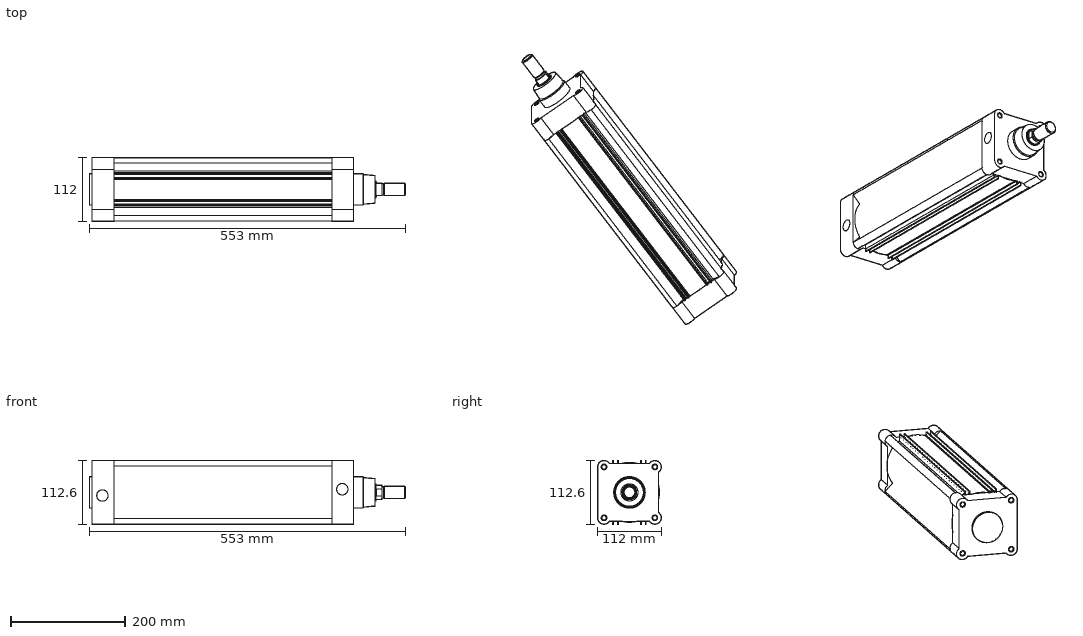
import cadquery as cq
import math


SIDES = (-1, 1)

REAR_BOSS_HEIGHT = 4.5
CAP_LENGTH = 38.0
TUBE_LENGTH = 381.5
TUBE_START = REAR_BOSS_HEIGHT + CAP_LENGTH
TUBE_END = TUBE_START + TUBE_LENGTH
FRONT_CAP_END = TUBE_END + CAP_LENGTH
ROD_TIP = 553.0

CAP_HALF = 56.0
RECESS_DEPTH = 5.0
RECESSED_HALF = CAP_HALF - RECESS_DEPTH
CORNER_DIAMETER = 22.5
CORNER_RADIUS = CORNER_DIAMETER / 2
CORNER_OFFSET = CAP_HALF - CORNER_RADIUS
BOSS_RADIUS = 27.5

BOLT_HOLE_RADIUS = 4.0
BOLT_HOLE_DEPTH = 16.5
BOLT_HOLE_CHAMFER = 1.0

PORT_RADIUS = 10.0
PORT_DEPTH = 22.0
PORT_INSET = 18.0
PORT_SHIFT = 5.5

BARREL_RADIUS = 52.5
LOBE_EDGE = 46.0
LOBE_REACH = CORNER_OFFSET + math.sqrt(CORNER_RADIUS**2 - (LOBE_EDGE - CORNER_OFFSET) ** 2)
FLANK_FILLET = 1.5
RAIL_PROUD = 0.3
RAIL_TOP = CAP_HALF + RAIL_PROUD
RAIL_THICKNESS = 1.5
RAIL_INNER_FACES = (19.5, 27.5)
RAIL_FOOT_WIDTH = 1.5
RAIL_FOOT_TOP = 50.5
SLOT_FLOOR = 44.0

NECK_CHAMFER = 1.5
NECK_STEP = 480.0
SLEEVE_RADIUS = 26.0
SLEEVE_TAPER_START = 481.5
SLEEVE_END_RADIUS = 24.5
SLEEVE_END = 500.0
WIPER_RADIUS = 15.0
WIPER_END = 501.5

ROD_RADIUS = 12.5
FLATS_START = 502.5
FLATS_WIDTH = 22.0
COLLAR_END = 511.5
GROOVE_RADIUS = 10.0
THREAD_START = 515.0
THREAD_RADIUS = 11.0
THREAD_CHAMFER = 1.5


def section_at(x):
    """Workplane at station x: its local axes are Y and Z, and it extrudes toward +X."""
    return cq.Workplane("YZ", origin=(x, 0, 0))


def turned(points):
    """Solid of revolution about X from (x, radius) points that start and end on the axis."""
    return cq.Workplane("XY").polyline(points).close().revolve(360, (0, 0, 0), (1, 0, 0))


def cap_block(x_start):
    """Cap outline: full width at -Y, where the lobes run tangent into the flat face."""
    diagonal = CORNER_OFFSET + CORNER_RADIUS / math.sqrt(2)
    lobe_half = math.sqrt(CORNER_RADIUS**2 - (RECESSED_HALF - CORNER_OFFSET) ** 2)
    lobe_start = CORNER_OFFSET - lobe_half
    return (
        section_at(x_start)
        .moveTo(-CAP_HALF, -CORNER_OFFSET)
        .lineTo(-CAP_HALF, CORNER_OFFSET)
        .threePointArc((-diagonal, diagonal), (-lobe_start, RECESSED_HALF))
        .lineTo(lobe_start, RECESSED_HALF)
        .threePointArc((diagonal, diagonal), (RECESSED_HALF, lobe_start))
        .lineTo(RECESSED_HALF, -lobe_start)
        .threePointArc((diagonal, -diagonal), (lobe_start, -RECESSED_HALF))
        .lineTo(-lobe_start, -RECESSED_HALF)
        .threePointArc((-diagonal, -diagonal), (-CAP_HALF, -CORNER_OFFSET))
        .close()
        .extrude(CAP_LENGTH)
    )


def bolt_hole_cutters(x_face, inward):
    """Four chamfered blind holes sunk from x_face; inward is +1 or -1 along X."""
    mouth_radius = BOLT_HOLE_RADIUS + BOLT_HOLE_CHAMFER
    hole = turned([
        (x_face, 0),
        (x_face, mouth_radius),
        (x_face + inward * BOLT_HOLE_CHAMFER, BOLT_HOLE_RADIUS),
        (x_face + inward * BOLT_HOLE_DEPTH, BOLT_HOLE_RADIUS),
        (x_face + inward * BOLT_HOLE_DEPTH, 0),
    ])
    holes = cq.Workplane("XY")
    for y_side in SIDES:
        for z_side in SIDES:
            holes = holes.add(hole.translate((0, y_side * CORNER_OFFSET, z_side * CORNER_OFFSET)))
    return holes.combine()


def port_cutter(x, z):
    """Blind port bored from the -Y face toward +Y."""
    return cq.Workplane("XZ", origin=(x, -CAP_HALF, z)).circle(PORT_RADIUS).extrude(-PORT_DEPTH)


def make_rear_cap():
    boss = section_at(0).circle(BOSS_RADIUS).extrude(REAR_BOSS_HEIGHT)
    return (
        cap_block(REAR_BOSS_HEIGHT)
        .union(boss)
        .cut(bolt_hole_cutters(REAR_BOSS_HEIGHT, 1))
        .cut(port_cutter(REAR_BOSS_HEIGHT + PORT_INSET, -PORT_SHIFT))
    )


def make_front_cap():
    neck = turned([
        (TUBE_END, 0),
        (TUBE_END, BOSS_RADIUS),
        (NECK_STEP - NECK_CHAMFER, BOSS_RADIUS),
        (NECK_STEP, SLEEVE_RADIUS),
        (SLEEVE_TAPER_START, SLEEVE_RADIUS),
        (SLEEVE_END, SLEEVE_END_RADIUS),
        (SLEEVE_END, WIPER_RADIUS),
        (WIPER_END, WIPER_RADIUS),
        (WIPER_END, 0),
    ])
    rod_bore = section_at(TUBE_END).circle(ROD_RADIUS).extrude(WIPER_END - TUBE_END)
    return (
        cap_block(TUBE_END)
        .union(neck)
        .cut(rod_bore)
        .cut(bolt_hole_cutters(FRONT_CAP_END, -1))
        .cut(port_cutter(TUBE_END + PORT_INSET, PORT_SHIFT))
    )


def corner_lobe():
    """Lobe in the +Y +Z corner: rounded outside, two parallel 45 degree flanks running inward."""
    diagonal = CORNER_OFFSET + CORNER_RADIUS / math.sqrt(2)
    flank_foot = LOBE_REACH - LOBE_EDGE
    return (
        section_at(TUBE_START)
        .moveTo(0, flank_foot)
        .lineTo(LOBE_EDGE, LOBE_REACH)
        .threePointArc((diagonal, diagonal), (LOBE_REACH, LOBE_EDGE))
        .lineTo(flank_foot, 0)
        .close()
        .extrude(TUBE_LENGTH)
    )


def fillet_side_flanks(tube):
    """Round the inner corners where the lobe flanks meet the barrel on the -Y and +Y sides."""
    flank_rise = LOBE_REACH - LOBE_EDGE
    flank_sum = math.sqrt(2 * BARREL_RADIUS**2 - flank_rise**2)
    corner_y = (flank_sum + flank_rise) / 2
    corner_z = (flank_sum - flank_rise) / 2
    search_margin = 0.5
    for y_side in SIDES:
        for z_side in SIDES:
            y = y_side * corner_y
            z = z_side * corner_z
            corner = cq.selectors.BoxSelector(
                (TUBE_START, y - search_margin, z - search_margin),
                (TUBE_END, y + search_margin, z + search_margin),
            )
            tube = tube.edges("|X").edges(corner).fillet(FLANK_FILLET)
    return tube


def long_bar(y_start, y_end, z_start, z_end):
    """Rectangular bar along the whole tube; the y and z limits may come in either order."""
    middle = ((y_start + y_end) / 2, (z_start + z_end) / 2)
    bar = section_at(TUBE_START).center(*middle)
    return bar.rect(abs(y_end - y_start), abs(z_end - z_start)).extrude(TUBE_LENGTH)


def add_rail_pair(tube, y_side, z_side):
    """Two thin rails with a flat-floored slot between; each has a low foot toward the axis."""
    first_face, second_face = RAIL_INNER_FACES
    slot_start = y_side * (first_face + RAIL_THICKNESS)
    slot_end = y_side * second_face
    tube = tube.union(long_bar(slot_start, slot_end, 0, z_side * SLOT_FLOOR))
    tube = tube.cut(long_bar(slot_start, slot_end, z_side * SLOT_FLOOR, z_side * RAIL_TOP))
    for face in RAIL_INNER_FACES:
        wall_start = y_side * face
        wall_end = y_side * (face + RAIL_THICKNESS)
        foot_start = y_side * (face - RAIL_FOOT_WIDTH)
        tube = tube.union(long_bar(wall_start, wall_end, 0, z_side * RAIL_TOP))
        tube = tube.union(long_bar(foot_start, wall_start, 0, z_side * RAIL_FOOT_TOP))
    return tube


def make_tube():
    tube = section_at(TUBE_START).circle(BARREL_RADIUS).extrude(TUBE_LENGTH)
    for quarter_turn in range(4):
        tube = tube.union(corner_lobe().rotate((0, 0, 0), (1, 0, 0), 90 * quarter_turn))
    tube = fillet_side_flanks(tube)
    for y_side in SIDES:
        for z_side in SIDES:
            tube = add_rail_pair(tube, y_side, z_side)
    return tube


def make_rod():
    rod = turned([
        (TUBE_END, 0),
        (TUBE_END, ROD_RADIUS),
        (COLLAR_END, ROD_RADIUS),
        (COLLAR_END, GROOVE_RADIUS),
        (THREAD_START, GROOVE_RADIUS),
        (THREAD_START + THREAD_CHAMFER, THREAD_RADIUS),
        (ROD_TIP - THREAD_CHAMFER, THREAD_RADIUS),
        (ROD_TIP, THREAD_RADIUS - THREAD_CHAMFER),
        (ROD_TIP, 0),
    ])
    flats_length = COLLAR_END - FLATS_START
    flats_middle = FLATS_START + flats_length / 2
    for y_side in SIDES:
        y_middle = y_side * (FLATS_WIDTH + ROD_RADIUS) / 2
        flat = cq.Workplane("XY", origin=(flats_middle, y_middle, 0))
        rod = rod.cut(flat.box(flats_length, ROD_RADIUS, 2 * ROD_RADIUS))
    return rod


rear_cap = make_rear_cap()
tube = make_tube()
front_cap = make_front_cap()
rod = make_rod()

bodies = [rear_cap, tube, front_cap, rod]
result = cq.Compound.makeCompound([body.solids().val() for body in bodies])